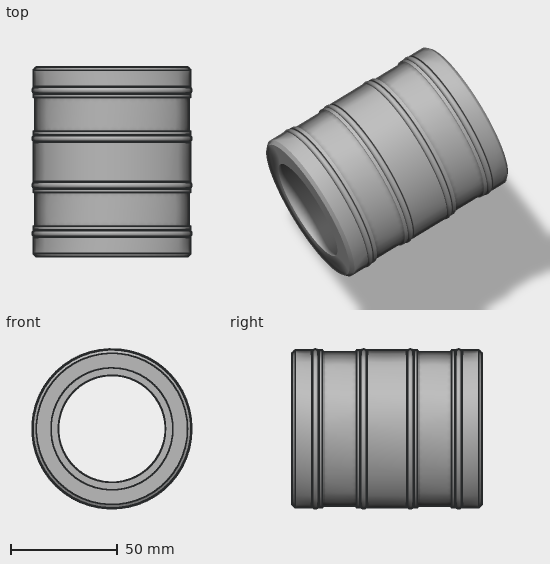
import cadquery as cq

length = 88.9
outer_radius = 37.0
end_chamfer = 1.6

bore_radius = 25.0
liner_radius = 28.5

ring_outer_radius = 37.38
ring_section_radius = 1.3
ring_path_radius = ring_outer_radius - ring_section_radius
groove_floor_radius = ring_path_radius - ring_section_radius
groove_width = 3.6
inner_ring_offset = 10.9
outer_ring_offset = 33.5
ring_positions = [-outer_ring_offset, -inner_ring_offset, inner_ring_offset, outer_ring_offset]

relief_depth = 0.8
relief_floor_radius = outer_radius - relief_depth
relief_length = 15.9
relief_fillet = 0.5
relief_offset = (inner_ring_offset + outer_ring_offset) / 2
relief_positions = [-relief_offset, relief_offset]

cut_clearance = 0.9


def make_tube(outside_radius, inside_radius, tube_length):
    """Tube along Y, centred on the origin."""
    return (
        cq.Workplane("XZ", origin=(0, tube_length / 2, 0))
        .circle(outside_radius)
        .circle(inside_radius)
        .extrude(tube_length)
    )


def make_groove_cutter(y_center):
    """Square-sided annular cutter for one O-ring groove."""
    cutter = make_tube(outer_radius + cut_clearance, groove_floor_radius, groove_width)
    return cutter.translate((0, y_center, 0))


def make_relief_cutter(y_center):
    """Annular cutter whose inner edges are rounded to leave floor fillets."""
    cutter = make_tube(outer_radius + cut_clearance, relief_floor_radius, relief_length)
    inner_edges = cutter.faces("<Y or >Y").edges(cq.selectors.RadiusNthSelector(0))
    return inner_edges.fillet(relief_fillet).translate((0, y_center, 0))


def make_sleeve():
    """Chamfered outer sleeve with O-ring grooves and reliefs."""
    sleeve = make_tube(outer_radius, liner_radius, length)
    rim_edges = sleeve.faces("<Y or >Y").edges(cq.selectors.RadiusNthSelector(-1))
    sleeve = rim_edges.chamfer(end_chamfer)
    for y_center in ring_positions:
        sleeve = sleeve.cut(make_groove_cutter(y_center))
    for y_center in relief_positions:
        sleeve = sleeve.cut(make_relief_cutter(y_center))
    return sleeve


def make_ring(y_center):
    """O-ring of round section around the Y axis."""
    return (
        cq.Workplane("XY")
        .center(ring_path_radius, y_center)
        .circle(ring_section_radius)
        .revolve(360, (-ring_path_radius, 0, 0), (-ring_path_radius, 1, 0))
    )


sleeve = make_sleeve()
liner = make_tube(liner_radius, bore_radius, length)
rings = [make_ring(y_center).val() for y_center in ring_positions]

result = cq.Compound.makeCompound([sleeve.val(), liner.val(), *rings])